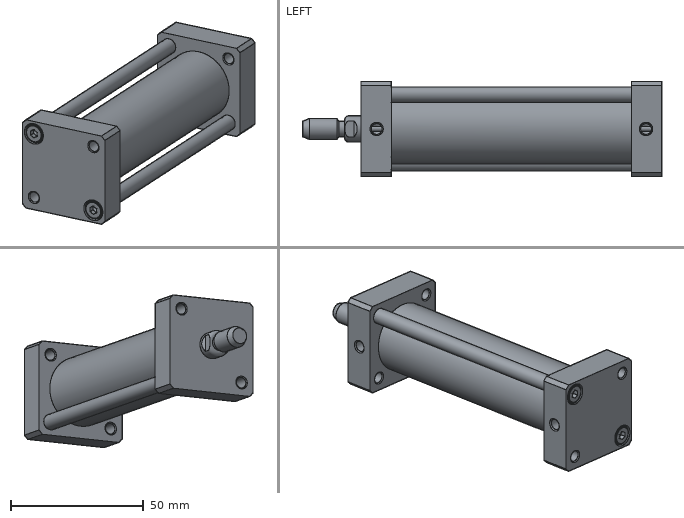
import cadquery as cq
import math

TOTAL_LENGTH = 136.0
CAP_WIDTH = 36.0
CAP_LENGTH = 11.5
CAP_CORNER_CHAMFER = 1.5
ROD_PROTRUSION = 22.0

BODY_LENGTH = TOTAL_LENGTH - ROD_PROTRUSION
FRONT_CAP_REAR_Y = BODY_LENGTH - CAP_LENGTH

BARREL_DIAMETER = 26.7
BARREL_BORE = 25.0

CORNER_PITCH = 26.0
CORNER_OFFSET = CORNER_PITCH / 2
MOUNT_HOLE_DIAMETER = 4.1
MOUNT_HOLE_MOUTH = 4.9
MOUNT_POSITIONS = [(CORNER_OFFSET, CORNER_OFFSET), (-CORNER_OFFSET, -CORNER_OFFSET)]
BOLT_POSITIONS = [(-CORNER_OFFSET, CORNER_OFFSET), (CORNER_OFFSET, -CORNER_OFFSET)]

SHANK_DIAMETER = 6.0
SHANK_END_DEPTH = 8.2
HEAD_DIAMETER = 7.0
HEAD_TOP_DIAMETER = 6.4
HEAD_LENGTH = 4.1
COUNTERBORE_DIAMETER = 7.5
COUNTERBORE_MOUTH = 8.3
SOCKET_SIDES = 6
SOCKET_CORNER_DIAMETER = 3.3
SOCKET_DEPTH = 2.0
SHANK_TIP_Y = FRONT_CAP_REAR_Y + SHANK_END_DEPTH

PORT_DIAMETER = 4.1
PORT_MOUTH = 5.0
PORT_DEPTH = 6.8
PORT_FROM_END = 6.0
PORT_BAR_DIAMETER = 2.0

DRILL_TIP_ANGLE = 118.0

ROD_DIAMETER = 10.0
THREAD_DIAMETER = 8.0
NECK_DIAMETER = 6.0
TIP_DIAMETER = 6.0
TIP_LENGTH = 2.6
THREAD_END = 12.9
NECK_START = 13.7
SHOULDER = 15.9
SHOULDER_ROUND = 1.6
FLAT_LENGTH = 3.5
FLAT_WIDTH = 8.0
FLAT_RAMP_LENGTH = 1.2


def revolve_about_y(profile):
    """Solid of revolution about the Y axis from (radius, y) points."""
    return cq.Workplane("XY").polyline(profile).close().revolve(360, (0, 0, 0), (0, 1, 0))


def cylinder_y(diameter, start_y, end_y, x=0.0, z=0.0):
    """Cylinder along Y between two y positions."""
    radius = diameter / 2
    return revolve_about_y(
        [(0, start_y), (radius, start_y), (radius, end_y), (0, end_y)]
    ).translate((x, 0, z))


def drill_tip_length(diameter):
    """Length of the conical bottom of a drilled hole."""
    return diameter / 2 / math.tan(math.radians(DRILL_TIP_ANGLE / 2))


def mount_hole(start_y, end_y):
    """Through-hole cutter, countersunk at both ends."""
    radius = MOUNT_HOLE_DIAMETER / 2
    mouth = MOUNT_HOLE_MOUTH / 2
    sink = mouth - radius
    return revolve_about_y([
        (0, start_y), (mouth, start_y), (radius, start_y + sink),
        (radius, end_y - sink), (mouth, end_y), (0, end_y),
    ])


def port(center_y):
    """Blind drilled port cutter with a countersunk mouth, crossed by a round bar."""
    radius = PORT_DIAMETER / 2
    mouth = PORT_MOUTH / 2
    profile = [
        (0, 0), (mouth, 0), (radius, mouth - radius), (radius, PORT_DEPTH),
        (0, PORT_DEPTH + drill_tip_length(PORT_DIAMETER)),
    ]
    drilled = (
        revolve_about_y(profile)
        .rotate((0, 0, 0), (0, 0, 1), -90)
        .translate((-CAP_WIDTH / 2, center_y, 0))
    )
    bar = cylinder_y(
        PORT_BAR_DIAMETER, center_y - PORT_DIAMETER, center_y + PORT_DIAMETER,
        x=PORT_DEPTH - CAP_WIDTH / 2,
    )
    return drilled.cut(bar)


def cap(start_y, port_y):
    """Square end cap with chamfered corners, mounting holes and an air port."""
    end_y = start_y + CAP_LENGTH
    body = (
        cq.Workplane("XY")
        .box(CAP_WIDTH, CAP_LENGTH, CAP_WIDTH)
        .edges("|Y").chamfer(CAP_CORNER_CHAMFER)
        .translate((0, start_y + CAP_LENGTH / 2, 0))
    )
    for x, z in MOUNT_POSITIONS:
        body = body.cut(mount_hole(start_y, end_y).translate((x, 0, z)))
    return body.cut(port(port_y))


def make_rear_cap():
    """Rear cap with counterbored seats for the tie bolt heads."""
    body = cap(0, PORT_FROM_END)
    bore = COUNTERBORE_DIAMETER / 2
    mouth = COUNTERBORE_MOUTH / 2
    shank = SHANK_DIAMETER / 2
    seat = revolve_about_y([
        (0, 0), (mouth, 0), (bore, mouth - bore), (bore, HEAD_LENGTH),
        (shank, HEAD_LENGTH), (shank, CAP_LENGTH), (0, CAP_LENGTH),
    ])
    for x, z in BOLT_POSITIONS:
        body = body.cut(seat.translate((x, 0, z)))
    return body


def make_front_cap():
    """Front cap with a rod bore and blind holes for the tie bolt ends."""
    body = cap(FRONT_CAP_REAR_Y, BODY_LENGTH - PORT_FROM_END)
    body = body.cut(cylinder_y(ROD_DIAMETER, FRONT_CAP_REAR_Y, BODY_LENGTH))
    for x, z in BOLT_POSITIONS:
        body = body.cut(cylinder_y(SHANK_DIAMETER, FRONT_CAP_REAR_Y, SHANK_TIP_Y, x, z))
    return body


def make_barrel():
    """Plain tube clamped between the caps."""
    outside = cylinder_y(BARREL_DIAMETER, CAP_LENGTH, FRONT_CAP_REAR_Y)
    return outside.cut(cylinder_y(BARREL_BORE, CAP_LENGTH, FRONT_CAP_REAR_Y))


def make_tie_bolt(x, z):
    """Bolt with a chamfered cylindrical head and a hexagon socket with a conical floor."""
    head = HEAD_DIAMETER / 2
    head_top = HEAD_TOP_DIAMETER / 2
    shank = SHANK_DIAMETER / 2
    bolt = revolve_about_y([
        (0, 0), (head_top, 0), (head, head - head_top), (head, HEAD_LENGTH),
        (shank, HEAD_LENGTH), (shank, SHANK_TIP_Y), (0, SHANK_TIP_Y),
    ])
    socket_radius = SOCKET_CORNER_DIAMETER / 2
    cone_end = SOCKET_DEPTH + drill_tip_length(SOCKET_CORNER_DIAMETER)
    socket_limit = revolve_about_y([
        (0, 0), (socket_radius, 0), (socket_radius, SOCKET_DEPTH), (0, cone_end),
    ])
    socket = (
        cq.Workplane("XZ")
        .polygon(SOCKET_SIDES, SOCKET_CORNER_DIAMETER)
        .extrude(-cone_end)
        .rotate((0, 0, 0), (0, 1, 0), 180 / SOCKET_SIDES)
        .intersect(socket_limit)
    )
    return bolt.cut(socket).translate((x, 0, z))


def wrench_flat():
    """Cutter for the flat on the +X side of the rod, with a ramp running out at its end."""
    flat_x = FLAT_WIDTH / 2
    rod_x = ROD_DIAMETER / 2
    shoulder_y = TOTAL_LENGTH - SHOULDER
    flat_end_y = shoulder_y - FLAT_LENGTH
    return (
        cq.Workplane("XY")
        .polyline([
            (flat_x, shoulder_y), (flat_x, flat_end_y),
            (rod_x, flat_end_y - FLAT_RAMP_LENGTH), (rod_x, shoulder_y),
        ])
        .close()
        .extrude(rod_x, both=True)
    )


def make_rod():
    """Piston rod with a plain thread cylinder, a neck, a rounded shoulder and two wrench flats."""
    shoulder_y = TOTAL_LENGTH - SHOULDER
    body = cylinder_y(ROD_DIAMETER, FRONT_CAP_REAR_Y, shoulder_y)
    body = body.faces(">Y").edges().fillet(SHOULDER_ROUND)
    flat = wrench_flat()
    body = body.cut(flat).cut(flat.mirror("YZ"))

    steps = [
        (NECK_DIAMETER, SHOULDER),
        (NECK_DIAMETER, NECK_START),
        (THREAD_DIAMETER, THREAD_END),
        (THREAD_DIAMETER, TIP_LENGTH),
        (TIP_DIAMETER, 0),
    ]
    profile = [(0, shoulder_y)]
    profile += [(diameter / 2, TOTAL_LENGTH - distance) for diameter, distance in steps]
    profile += [(0, TOTAL_LENGTH)]
    return body.union(revolve_about_y(profile))


rear_cap = make_rear_cap()
front_cap = make_front_cap()
barrel = make_barrel()
rod = make_rod()
tie_bolts = [make_tie_bolt(x, z) for x, z in BOLT_POSITIONS]

result = cq.Compound.makeCompound([
    rear_cap.val(),
    front_cap.val(),
    barrel.val(),
    rod.val(),
    *[bolt.val() for bolt in tie_bolts],
])